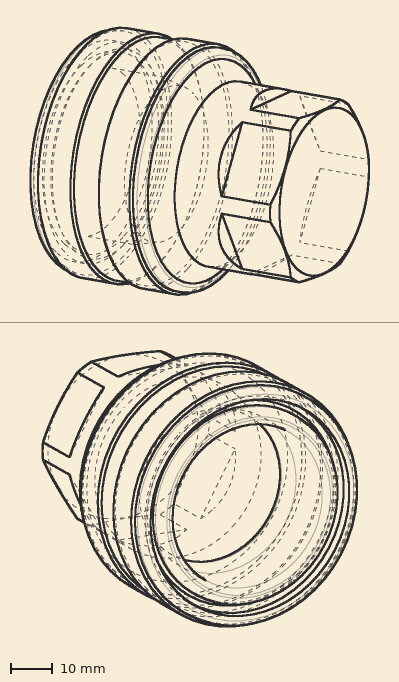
import cadquery as cq
import math

length = 65.0

sleeve_radius = 59.2 / 2
sleeve_rear_radius = 59.3 / 2
sleeve_end = 32.2
sleeve_round = 1.5
band_radius = 60.8 / 2
band_bevel = 0.5
band_spans = [(2.8, 12.95), (19.9, 29.5)]

neck_radius = 45.0 / 2
neck_start = 36.85
cone_start_radius = neck_radius + neck_start - sleeve_end

flat_count = 6
across_flats = 40.95
flat_start = 50.05
cutter_margin = 0.65
end_radius = 40.7 / 2
end_chamfer_length = 1.3

mouth_radius = 53.75 / 2
groove_radius = 25.5
mouth_depth = 2.85
groove_depth = mouth_depth + mouth_radius - groove_radius
lip_outer_radius = 49.0 / 2
lip_flat_outer_radius = 22.5
lip_flat_inner_radius = 21.8
lip_outer_depth = lip_outer_radius - lip_flat_outer_radius

bore_radius = 40.7 / 2
lip_inner_round = lip_flat_inner_radius - bore_radius
taper_start = 14.95
taper_end = 19.8
floor_radius = 38.0 / 2
floor_depth = 20.6


def rounding_midpoint(center_x, center_r, radius, x_sign):
    """Middle point of a quarter round whose outward side is radially positive."""
    offset = radius * math.sqrt(0.5)
    return center_x + x_sign * offset, center_r + offset


def make_body():
    """Revolve the half section, written as (X, radius), about the X axis."""
    round_center_r = sleeve_radius - sleeve_round
    front_mid = rounding_midpoint(sleeve_round, round_center_r, sleeve_round, -1)
    rear_center_r = sleeve_rear_radius - sleeve_round
    rear_mid = rounding_midpoint(sleeve_end - sleeve_round, rear_center_r, sleeve_round, 1)
    lip_inner_offset = lip_inner_round * (1 - math.sqrt(0.5))
    lip_inner_mid = (lip_inner_offset, bore_radius + lip_inner_offset)

    section = (
        cq.Workplane("XY")
        .moveTo(0, mouth_radius)
        .lineTo(0, round_center_r)
        .threePointArc(front_mid, (sleeve_round, sleeve_radius))
    )
    for start, end in band_spans:
        section = (
            section.lineTo(start, sleeve_radius)
            .lineTo(start + band_bevel, band_radius)
            .lineTo(end - band_bevel, band_radius)
            .lineTo(end, sleeve_radius)
        )

    section = (
        section.lineTo(band_spans[-1][1], sleeve_rear_radius)
        .lineTo(sleeve_end - sleeve_round, sleeve_rear_radius)
        .threePointArc(rear_mid, (sleeve_end, rear_center_r))
        .lineTo(sleeve_end, cone_start_radius)
        .lineTo(neck_start, neck_radius)
        .lineTo(length - end_chamfer_length, neck_radius)
        .lineTo(length, end_radius)
        .lineTo(length, 0)
    )

    section = (
        section.lineTo(floor_depth, 0)
        .lineTo(floor_depth, floor_radius)
        .lineTo(taper_end, floor_radius)
        .lineTo(taper_start, bore_radius)
        .lineTo(lip_inner_round, bore_radius)
        .threePointArc(lip_inner_mid, (0, lip_flat_inner_radius))
        .lineTo(0, lip_flat_outer_radius)
        .tangentArcPoint((lip_outer_depth, lip_outer_radius), relative=False)
        .lineTo(groove_depth - groove_radius + lip_outer_radius, lip_outer_radius)
        .lineTo(groove_depth, groove_radius)
        .lineTo(mouth_depth, mouth_radius)
        .close()
    )
    return section.revolve(360, (0, 0, 0), (1, 0, 0))


def make_flat_cutter():
    """Material above one wrench flat, with a 45 degree run-out at its front."""
    flat_height = across_flats / 2
    cutter_height = neck_radius + cutter_margin
    runout = cutter_height - flat_height
    return (
        cq.Workplane("XZ")
        .moveTo(flat_start, flat_height)
        .lineTo(length, flat_height)
        .lineTo(length, cutter_height)
        .lineTo(flat_start - runout, cutter_height)
        .close()
        .extrude(neck_radius, both=True)
    )


result = make_body()
flat_cutter = make_flat_cutter()
for index in range(flat_count):
    angle = index * 360 / flat_count
    result = result.cut(flat_cutter.rotate((0, 0, 0), (1, 0, 0), angle))